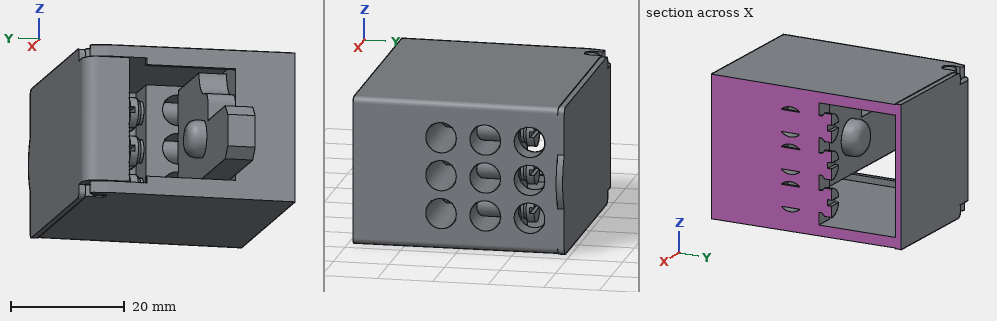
import cadquery as cq
import math

body_length = 42.1
body_height = 26.8
body_depth = 36.85
draft_drop = 0.1
mid_z = body_height / 2
edge_radius = 1.05
overlap = 0.3

cavity_wall = 0.95
cavity_bottom = 10.75
cavity_height = 22.45
riser_x = [22.8, 30.4, 38.0]
tread_y = [21.6, 28.95]

opening_height = 20.05
wide_opening_height = cavity_height
wide_opening_start = 26.85

terminal_pitch = 6.9
terminal_count = 3
wire_hole_diameter = 5.5
lowest_wire_hole_y = 15.85
row_rise = 7.95
head_diameter = 5.3
head_height = 1.4
head_taper = 0.6
head_gap = 0.5
screw_slot_width = 1.05
screw_slot_depth = 0.75
shank_diameter = 4.15
shank_length = 10.55

blade_thickness = 5.0
blade_bottom = 4.4
blade_top = 13.9
blade_reach = 15.0
blade_chamfer = 1.95
shoulder_x = 0.25
shoulder_height = 17.1
shoulder_radius = 2.1
rise_radius = 4.7

rivet_x = 4.4
rivet_z = 11.4
rivet_radius = 3.35
rivet_rim = 1.2
rivet_height = 3.05

cover_thickness = 1.15
cover_start = 4.7
hinge_height = 22.25
hinge_radius = 2.6
hinge_wall = 0.95
hinge_wall_end = 30.0
tab_radius = 9.3
tab_reach = 1.4
pin_x = 3.0
pin_y = 34.8
pin_radius = 1.3
pin_recess = 0.25
neck_left = 1.8
neck_right = 4.1

ear_start = 33.8
ear_lean = 0.5
ear_shoulder = 36.4
ear_tip = 36.8

terminal_z = [mid_z + (i - (terminal_count - 1) / 2) * terminal_pitch for i in range(terminal_count)]


def centred_box(x0, x1, y0, y1, height):
    """Box between two corners in X and Y, centred on the mid height."""
    return (
        cq.Workplane("XY")
        .box(x1 - x0, y1 - y0, height, centered=(False, False, True))
        .translate((x0, y0, mid_z))
    )


def cylinder_along_y(x, y0, z, radius, length):
    return cq.Workplane("XZ", origin=(x, y0, z)).circle(radius).extrude(-length)


def make_shell():
    shell = (
        cq.Workplane("YZ")
        .polyline([
            (0, 0),
            (body_depth, draft_drop),
            (body_depth, body_height - draft_drop),
            (0, body_height),
        ])
        .close()
        .extrude(body_length)
        .faces(">X").edges(">Z or <Z").fillet(edge_radius)
    )
    cavity = (
        cq.Workplane("XY")
        .polyline([
            (cavity_wall, cavity_bottom),
            (riser_x[0], cavity_bottom),
            (riser_x[0], tread_y[0]),
            (riser_x[1], tread_y[0]),
            (riser_x[1], tread_y[1]),
            (riser_x[2], tread_y[1]),
            (riser_x[2], body_depth),
            (cavity_wall, body_depth),
        ])
        .close()
        .extrude(cavity_height / 2, both=True)
        .translate((0, 0, mid_z))
    )
    opening = centred_box(0, cavity_wall, cavity_bottom, body_depth, opening_height)
    wide_opening = centred_box(0, cavity_wall, wide_opening_start, body_depth, wide_opening_height)
    return shell.cut(cavity).cut(opening).cut(wide_opening)


def ear_relief():
    """Material to remove so that the ears lean back and leave a keyhole for the pin."""
    ear_tip_x = (ear_lean + neck_left) / 2
    lean = (
        cq.Workplane("XY")
        .moveTo(0, ear_start)
        .lineTo(ear_lean, ear_shoulder)
        .threePointArc((ear_tip_x, ear_tip), (neck_left, ear_shoulder))
        .lineTo(neck_left, body_depth + overlap)
        .lineTo(0, body_depth + overlap)
        .close()
        .extrude(body_height)
    )
    flare = cover_start - neck_right
    diagonal = flare * math.sqrt(0.5)
    neck = (
        cq.Workplane("XY")
        .moveTo(neck_left, pin_y)
        .lineTo(neck_right, pin_y)
        .lineTo(neck_right, body_depth - flare)
        .threePointArc(
            (cover_start - diagonal, body_depth - flare + diagonal),
            (cover_start, body_depth),
        )
        .lineTo(cover_start, body_depth + overlap)
        .lineTo(neck_left, body_depth + overlap)
        .close()
        .extrude(body_height)
    )
    pin_hole = cq.Workplane("XY").center(pin_x, pin_y).circle(pin_radius).extrude(body_height)
    return lean.union(neck).union(pin_hole)


def wire_holes():
    holes = cq.Workplane("XY")
    for row, start_x in enumerate(riser_x):
        hole_y = lowest_wire_hole_y + row * row_rise
        centres = [(hole_y, z) for z in terminal_z]
        holes = holes.union(
            cq.Workplane("YZ", origin=(start_x, 0, 0))
            .pushPoints(centres)
            .circle(wire_hole_diameter / 2)
            .extrude(body_length - start_x)
        )
    return holes


def make_screw(x, tread, z):
    """Slotted screw standing on a tread, with its shank running down into the block."""
    head_radius = head_diameter / 2
    shank_radius = shank_diameter / 2
    head_base = tread + head_gap
    head_edge = head_base + head_taper
    head_top = head_edge + head_height
    screw = (
        cq.Workplane("XY")
        .polyline([
            (0, head_base - shank_length),
            (shank_radius, head_base - shank_length),
            (shank_radius, head_base),
            (head_radius, head_edge),
            (head_radius, head_top),
            (0, head_top),
        ])
        .close()
        .revolve(360, (0, 0, 0), (0, 1, 0))
    )
    slot = cq.Workplane("XY").box(head_diameter, 2 * screw_slot_depth, screw_slot_width)
    return screw.cut(slot.translate((0, head_top, 0))).translate((x, 0, z))


def make_blade():
    """Flat blade outside the housing, stepping up in an S-curve inside it."""
    diagonal = math.sqrt(0.5)
    shoulder_top = shoulder_height + shoulder_radius
    rise_start = shoulder_x + shoulder_radius
    return (
        cq.Workplane("XZ", origin=(0, cavity_bottom, 0))
        .moveTo(riser_x[0] + overlap, blade_bottom)
        .lineTo(blade_chamfer - blade_reach, blade_bottom)
        .lineTo(-blade_reach, blade_bottom + blade_chamfer)
        .lineTo(-blade_reach, blade_top - blade_chamfer)
        .lineTo(blade_chamfer - blade_reach, blade_top)
        .lineTo(shoulder_x, blade_top)
        .lineTo(shoulder_x, shoulder_height)
        .threePointArc(
            (rise_start - shoulder_radius * diagonal, shoulder_height + shoulder_radius * diagonal),
            (rise_start, shoulder_top),
        )
        .threePointArc(
            (rise_start + rise_radius * diagonal, shoulder_top + rise_radius * (1 - diagonal)),
            (rise_start + rise_radius, shoulder_top + rise_radius),
        )
        .lineTo(riser_x[0] + overlap, shoulder_top + rise_radius)
        .close()
        .extrude(-blade_thickness)
    )


def make_rivet():
    dome_radius = rivet_height - rivet_rim
    base_y = cavity_bottom + blade_thickness
    rivet = cylinder_along_y(rivet_x, base_y, rivet_z, rivet_radius, rivet_height)
    return rivet.faces(">Y").edges().fillet(dome_radius)


def make_cover():
    plate = (
        centred_box(cover_start, body_length, body_depth, body_depth + cover_thickness, body_height)
        .edges("|Y").fillet(edge_radius)
    )
    tab_centre = body_length + tab_reach - tab_radius
    tab = cylinder_along_y(tab_centre, body_depth, mid_z, tab_radius, cover_thickness)

    outer_y = body_depth + cover_thickness
    corner = centred_box(0, cover_start + edge_radius, hinge_wall_end, outer_y, hinge_height)
    corner = corner.edges("|Z").edges("<X and >Y").fillet(hinge_radius)
    hollow = centred_box(hinge_wall, cover_start + edge_radius, hinge_wall_end, body_depth, hinge_height)
    inner_radius = hinge_radius - hinge_wall
    hollow = hollow.edges("|Z").edges("<X and >Y").fillet(inner_radius)

    neck = centred_box(neck_left, neck_right, pin_y, body_depth + overlap, hinge_height)
    pin_length = body_height - 2 * (draft_drop + pin_recess)
    pin = (
        cq.Workplane("XY", origin=(pin_x, pin_y, mid_z))
        .circle(pin_radius)
        .extrude(pin_length / 2, both=True)
    )
    return plate.union(tab).union(corner.cut(hollow)).union(neck).union(pin)


result = make_shell().cut(ear_relief()).cut(wire_holes())

for step, tread in enumerate(tread_y):
    screw_x = (riser_x[step] + riser_x[step + 1]) / 2
    for z in terminal_z:
        result = result.union(make_screw(screw_x, tread, z))

result = result.union(make_blade()).union(make_rivet()).union(make_cover())